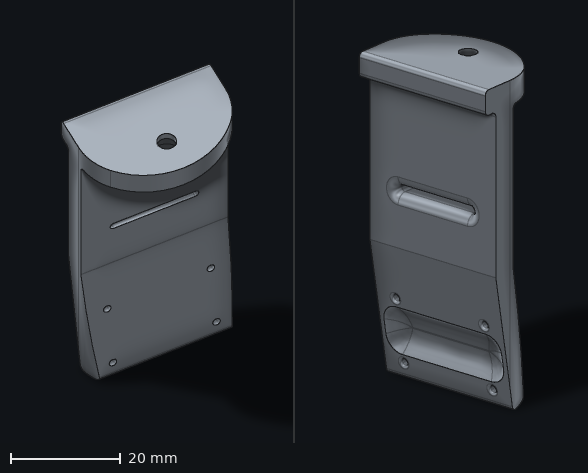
import cadquery as cq
import math

height = 64.85
width = 30.0
depth = 19.85

wall_thickness = 5.0
wall_front = 3.0
bend_z = 27.4
tilt = 10.0
edge_radius = 1.0

straight_depth = 7.0
corner_radius = 11.1

plate_thickness = 5.0
plate_hole_x = 13.0
plate_hole_diameter = 3.55
plate_hole_neck = 1.5
counterbore_diameter = 6.5

slot_z = 38.6
slot_length = 18.0
slot_height = 1.5
slot_edge_radius = 2.0

pocket_distance = 17.95
pocket_length = 28.0
pocket_height = 10.0
pocket_depth = 2.0
pocket_corner_radius = 3.45
pocket_floor_height = 0.2
pocket_sections = 5

screw_spacing_y = 21.1
screw_spacing_z = 13.5
screw_diameter = 1.5
screw_edge_radius = 0.5

pick_margin = 0.65

sin_tilt = math.sin(math.radians(tilt))
cos_tilt = math.cos(math.radians(tilt))

leg_end_corner_z = edge_radius * (1 - sin_tilt - cos_tilt)
leg_length = (bend_z - leg_end_corner_z) / cos_tilt

leg_plane = cq.Plane(
    origin=(wall_front + pocket_distance * sin_tilt, 0, bend_z - pocket_distance * cos_tilt),
    xDir=(0, -1, 0),
    normal=(-cos_tilt, 0, -sin_tilt),
)


def make_side_profile():
    """T-shaped side profile with the bent leg, extruded across the width."""
    plate_bottom = height - plate_thickness
    wall_back = wall_front + wall_thickness
    back_bend_z = bend_z + wall_thickness * math.tan(math.radians(tilt / 2))
    end_x = wall_front + leg_length * sin_tilt
    end_back_x = end_x + wall_thickness * cos_tilt
    end_back_z = leg_end_corner_z + wall_thickness * sin_tilt
    rounded_corners = [
        (0, height),
        (0, plate_bottom),
        (wall_front, plate_bottom),
        (wall_back, plate_bottom),
        (end_x, leg_end_corner_z),
        (end_back_x, end_back_z),
    ]
    body = (
        cq.Workplane("XZ")
        .moveTo(0, height)
        .lineTo(0, plate_bottom)
        .lineTo(wall_front, plate_bottom)
        .lineTo(wall_front, bend_z)
        .lineTo(end_x, leg_end_corner_z)
        .lineTo(end_back_x, end_back_z)
        .lineTo(wall_back, back_bend_z)
        .lineTo(wall_back, plate_bottom)
        .lineTo(depth, plate_bottom)
        .lineTo(depth, height)
        .close()
        .extrude(width / 2, both=True)
    )
    for x, z in rounded_corners:
        body = body.edges(cq.selectors.NearestToPointSelector((x, 0, z))).fillet(edge_radius)
    return body


def make_plan_outline():
    """D-shaped prism that trims both the plate and the leg."""
    half_width = width / 2
    corner_y = half_width - corner_radius
    gap = depth - straight_depth
    rear_radius = (gap**2 + corner_y**2 - corner_radius**2) / (2 * (gap - corner_radius))
    rear_x = depth - rear_radius
    contact_angle = math.atan2(corner_y, straight_depth - rear_x)

    def on_corner(angle):
        x = straight_depth + corner_radius * math.cos(angle)
        return x, corner_y + corner_radius * math.sin(angle)

    contact_x, contact_y = on_corner(contact_angle)
    middle_x, middle_y = on_corner((contact_angle + math.pi / 2) / 2)
    return (
        cq.Workplane("XY")
        .moveTo(0, -half_width)
        .lineTo(straight_depth, -half_width)
        .threePointArc((middle_x, -middle_y), (contact_x, -contact_y))
        .threePointArc((depth, 0), (contact_x, contact_y))
        .threePointArc((middle_x, middle_y), (straight_depth, half_width))
        .lineTo(0, half_width)
        .close()
        .extrude(height)
    )


def cut_plate_hole(body):
    """Vertical hole through the top plate, with a counterbore from its underside."""
    hole = (
        cq.Workplane("XY", origin=(plate_hole_x, 0, height))
        .circle(plate_hole_diameter / 2)
        .extrude(-plate_thickness)
    )
    counterbore = (
        cq.Workplane("XY", origin=(plate_hole_x, 0, height - plate_thickness))
        .circle(counterbore_diameter / 2)
        .extrude(plate_thickness - plate_hole_neck)
    )
    return body.cut(hole).cut(counterbore)


def rim_selector(center, size_y, size_z):
    """Pick the edges of a front rim of the given size."""
    x, y, z = center
    half_x = pick_margin
    half_y = size_y / 2 + pick_margin
    half_z = size_z / 2 + pick_margin
    low_corner = (x - half_x, y - half_y, z - half_z)
    high_corner = (x + half_x, y + half_y, z + half_z)
    return cq.selectors.BoxSelector(low_corner, high_corner, boundingbox=True)


def cut_slot(body):
    """Slot through the upright wall with a rounded front edge."""
    front_plane = cq.Plane(origin=(wall_front, 0, slot_z), xDir=(0, -1, 0), normal=(-1, 0, 0))
    slot = cq.Workplane(front_plane).slot2D(slot_length, slot_height).extrude(-wall_thickness)
    rim = rim_selector((wall_front, 0, slot_z), slot_length, slot_height)
    return body.cut(slot).edges(rim).fillet(slot_edge_radius)


def cut_screw_holes(body):
    """Four holes square to the leg, each with a rounded front edge."""
    for side_y in (-1, 1):
        for side_z in (-1, 1):
            start = (side_y * screw_spacing_y / 2, side_z * screw_spacing_z / 2)
            hole = (
                cq.Workplane(leg_plane)
                .center(*start)
                .circle(screw_diameter / 2)
                .extrude(-wall_thickness)
            )
            rim_center = leg_plane.toWorldCoords(start).toTuple()
            rim = rim_selector(rim_center, screw_diameter, screw_diameter)
            body = body.cut(hole).edges(rim).fillet(screw_edge_radius)
    return body


def cut_pocket(body):
    """Bowl with a rounded-rectangle rim and a circular-arc cross-section."""
    inset_total = (pocket_height - pocket_floor_height) / 2
    arc_radius = (inset_total**2 + pocket_depth**2) / (2 * pocket_depth)
    wires = []
    for index in range(pocket_sections):
        fraction = index / (pocket_sections - 1)
        inset = inset_total * fraction
        rise = arc_radius - math.sqrt(arc_radius**2 - (inset_total - inset) ** 2)
        section_height = pocket_height - 2 * inset
        section = (
            cq.Workplane("XY")
            .rect(pocket_length - 2 * inset, section_height)
            .extrude(pocket_depth)
            .edges("|Z")
            .fillet(pocket_corner_radius * section_height / pocket_height)
            .faces("<Z")
            .wires()
            .val()
        )
        on_leg = cq.Workplane(leg_plane).workplane(offset=rise - pocket_depth).plane
        wires.append(section.moved(cq.Location(on_leg)))
    return body.cut(cq.Workplane(cq.Solid.makeLoft(wires)))


result = make_side_profile().intersect(make_plan_outline())
result = cut_plate_hole(result)
result = cut_slot(result)
result = cut_screw_holes(result)
result = cut_pocket(result)